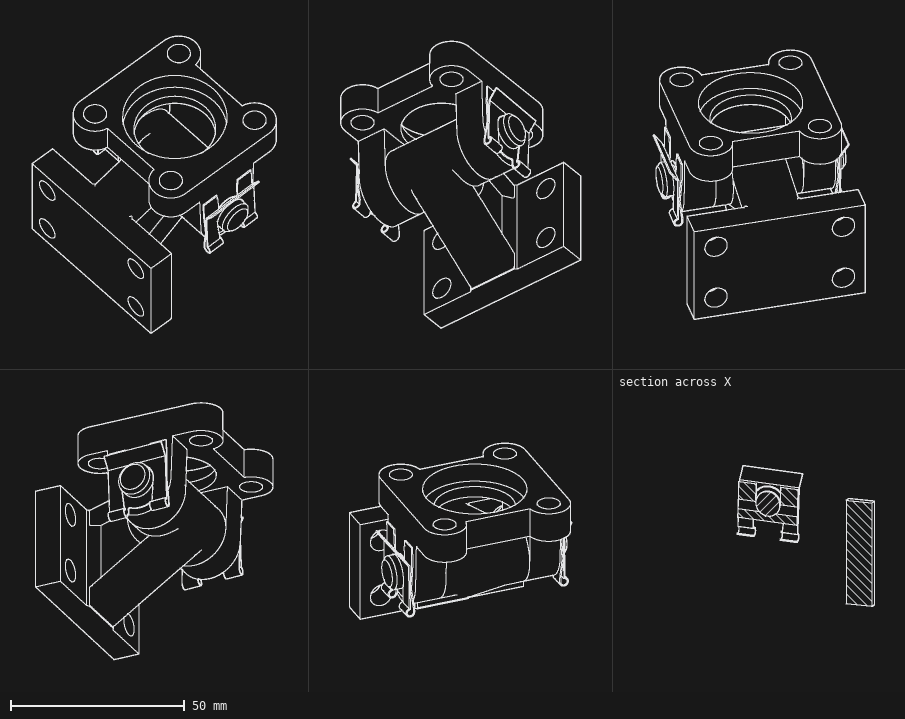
import cadquery as cq
import math


PIN_LENGTH = 54.5
PIN_RADIUS = 5.0
PIN_CHAMFER = 1.05
GROOVE_RADIUS = 3.75
GROOVE_START = 22.7
GROOVE_WIDTH = 1.2

FLANGE_HALF = 22.55
FLANGE_TOP = 22.05
FLANGE_THICKNESS = 9.0
FLANGE_BOTTOM = FLANGE_TOP - FLANGE_THICKNESS
FLANGE_CENTER_Y = 0.3
CORNER_RADIUS = 6.3
CORNER_OFFSET = FLANGE_HALF - CORNER_RADIUS
FLANGE_BODY_DEPTH = 34.2
BOLT_HOLE_DIAMETER = 6.65
BORE_DIAMETER = 23.45
COUNTERBORE_DIAMETER = 30.0
COUNTERBORE_DEPTH = 5.6

HINGE_RADIUS = 10.0
LUG_INNER_X = 13.05
LUG_THICKNESS = FLANGE_HALF - LUG_INNER_X
LUG_TOP_HALF_WIDTH = 10.5

PLATE_WIDTH = 51.0
PLATE_HEIGHT = 31.0
PLATE_THICKNESS = 8.0
PLATE_TOP = 3.5
PLATE_BOTTOM = PLATE_TOP - PLATE_HEIGHT
PLATE_CENTER_Z = PLATE_TOP - PLATE_HEIGHT / 2
PLATE_INNER_Y = -24.0
PLATE_HOLE_X = 19.0
PLATE_HOLE_Z = 9.0
ARM_HALF_WIDTH = 7.9
ARM_FLARE = 0.55
ARM_FILLET = 0.55
RIB_THICKNESS = 5.0
POCKET_DEPTH = 2.5

CLIP_TILT = 2.0
SHEET = 0.4
CLIP_HALF_WIDTH = 9.15
CLIP_TOP = 11.6
TAB_X = 23.15
JOG_Z = 6.05
RIDGE_X = 23.7
RIDGE_Z = -1.65
FOOT_CLEARANCE = 0.05
FOOT_X = FLANGE_HALF + FOOT_CLEARANCE + SHEET / 2
FOOT_Z = -7.95
ROLL_RADIUS = 1.35
ROLL_X = FOOT_X - SHEET / 2 + ROLL_RADIUS
ROLL_Z = -9.1
ROLL_GAP = 8.3
OUTER_LEAF_X = 24.15
FLAP_BEND_Z = 5.85
FLAP_TIP_X = 26.6
FLAP_TIP_Z = 9.45
FORK_MOUTH_HALF = 4.0
FORK_MOUTH_Z = 10.05
FORK_TAPER_Z = 9.65
NOTCH_WIDTH = 7.55
NOTCH_ARC_RADIUS = 7.9
NOTCH_CORNER_RADIUS = 0.5
SNAP_RADIUS = 5.15
SNAP_TAPER_END_Z = -7.3
SNAP_TAPER_HALF = 4.5


def hinge_cylinder(radius, start_x, length):
    """Cylinder on the hinge axis that begins at start_x."""
    return cq.Workplane("YZ", origin=(start_x, 0, 0)).circle(radius).extrude(length)


def tangent_normal(point, side):
    """Unit normal of the line from a (y, z) point tangent to the barrel circle."""
    turn = math.acos(HINGE_RADIUS / math.hypot(*point))
    angle = math.atan2(point[1], point[0]) + side * turn
    return math.cos(angle), math.sin(angle)



def make_flange():
    base = cq.Workplane("XY", origin=(0, FLANGE_CENTER_Y, FLANGE_BOTTOM))
    corners = base.rect(2 * CORNER_OFFSET, 2 * CORNER_OFFSET, forConstruction=True).vertices()
    side_bars = base.rect(2 * FLANGE_HALF, 2 * CORNER_OFFSET).extrude(FLANGE_THICKNESS)
    body = base.rect(2 * CORNER_OFFSET, FLANGE_BODY_DEPTH).extrude(FLANGE_THICKNESS)
    bosses = corners.circle(CORNER_RADIUS).extrude(FLANGE_THICKNESS)
    flange = body.union(side_bars).union(bosses)
    top = flange.faces(">Z").workplane(origin=(0, FLANGE_CENTER_Y, FLANGE_TOP))
    flange = top.cboreHole(BORE_DIAMETER, COUNTERBORE_DIAMETER, COUNTERBORE_DEPTH)
    bolt_holes = corners.circle(BOLT_HOLE_DIAMETER / 2).extrude(FLANGE_THICKNESS)
    return flange.cut(bolt_holes)


def make_lug(start_x):
    """Lug whose sides taper down from the flange until they are tangent to its round end."""
    right = tangent_normal((LUG_TOP_HALF_WIDTH, FLANGE_BOTTOM), -1)
    tangent_y = HINGE_RADIUS * right[0]
    tangent_z = HINGE_RADIUS * right[1]
    return (
        cq.Workplane("YZ", origin=(start_x, 0, 0))
        .moveTo(-LUG_TOP_HALF_WIDTH, FLANGE_BOTTOM)
        .lineTo(-tangent_y, tangent_z)
        .threePointArc((0, -HINGE_RADIUS), (tangent_y, tangent_z))
        .lineTo(LUG_TOP_HALF_WIDTH, FLANGE_BOTTOM)
        .close()
        .extrude(LUG_THICKNESS)
    )


def make_clevis():
    clevis = make_flange()
    for start_x in (-FLANGE_HALF, LUG_INNER_X):
        clevis = clevis.union(make_lug(start_x))
    return clevis.cut(hinge_cylinder(PIN_RADIUS, -FLANGE_HALF, 2 * FLANGE_HALF))



UPPER_NORMAL = tangent_normal((PLATE_INNER_Y, PLATE_TOP), -1)
LOWER_NORMAL = tangent_normal((PLATE_INNER_Y, PLATE_BOTTOM), 1)


def arm_outline(inset):
    """Corners of the arm between barrel and plate, with its two sloping sides moved in by inset."""
    reach = HINGE_RADIUS - inset
    barrel_points = []
    plate_points = []
    for normal_y, normal_z in (UPPER_NORMAL, LOWER_NORMAL):
        barrel_points.append((reach * normal_y, reach * normal_z))
        plate_points.append((PLATE_INNER_Y, (reach - normal_y * PLATE_INNER_Y) / normal_z))
    return [barrel_points[0], plate_points[0], plate_points[1], barrel_points[1], (0, 0)]


def make_pocket():
    """Pocket in the +X side of the arm, bevelled at 45 degrees along the barrel and the plate."""
    floor_x = ARM_HALF_WIDTH - POCKET_DEPTH
    pocket = (
        cq.Workplane("YZ", origin=(floor_x, 0, 0))
        .polyline(arm_outline(RIB_THICKNESS))
        .close()
        .extrude(POCKET_DEPTH)
    )
    barrel_bevel = cq.Workplane("XY").add(
        cq.Solid.makeCone(
            HINGE_RADIUS + POCKET_DEPTH,
            HINGE_RADIUS,
            POCKET_DEPTH,
            pnt=cq.Vector(floor_x, 0, 0),
            dir=cq.Vector(1, 0, 0),
        )
    )
    bevel_end_y = PLATE_INNER_Y + ARM_FLARE
    plate_bevel = (
        cq.Workplane("XY", origin=(0, 0, PLATE_BOTTOM))
        .moveTo(floor_x, PLATE_INNER_Y)
        .lineTo(floor_x, bevel_end_y + POCKET_DEPTH)
        .lineTo(ARM_HALF_WIDTH, bevel_end_y)
        .lineTo(ARM_HALF_WIDTH, PLATE_INNER_Y)
        .close()
        .extrude(PLATE_HEIGHT)
    )
    return pocket.cut(barrel_bevel).cut(plate_bevel)


def make_arm():
    arm = (
        cq.Workplane("YZ", origin=(-ARM_HALF_WIDTH, 0, 0))
        .polyline(arm_outline(0))
        .close()
        .extrude(2 * ARM_HALF_WIDTH)
    )
    pocket = make_pocket()
    arm = arm.cut(pocket).cut(pocket.mirror("YZ"))
    long_edges = []
    for side in ("<X", ">X"):
        for edge in arm.faces(side).edges("%LINE").vals():
            slopes = edge.startPoint().y != edge.endPoint().y
            if slopes and edge.Center().y < -HINGE_RADIUS / 2:
                long_edges.append(edge)
    return arm.newObject(long_edges).fillet(ARM_FILLET)


def make_flare():
    """Narrow widening of the arm where it meets the plate."""
    outer = ARM_HALF_WIDTH + ARM_FLARE
    return (
        cq.Workplane("XY", origin=(0, 0, PLATE_BOTTOM))
        .moveTo(-outer, PLATE_INNER_Y)
        .lineTo(-ARM_HALF_WIDTH, PLATE_INNER_Y + ARM_FLARE)
        .lineTo(ARM_HALF_WIDTH, PLATE_INNER_Y + ARM_FLARE)
        .lineTo(outer, PLATE_INNER_Y)
        .close()
        .extrude(PLATE_HEIGHT)
    )


def make_plate():
    plate = cq.Workplane("XZ", origin=(0, PLATE_INNER_Y, PLATE_CENTER_Z))
    holes = (
        plate.rect(2 * PLATE_HOLE_X, 2 * PLATE_HOLE_Z, forConstruction=True)
        .vertices()
        .circle(BOLT_HOLE_DIAMETER / 2)
        .extrude(PLATE_THICKNESS)
    )
    return plate.rect(PLATE_WIDTH, PLATE_HEIGHT).extrude(PLATE_THICKNESS).cut(holes)


def make_bracket():
    barrel_length = 2 * LUG_INNER_X
    barrel = hinge_cylinder(HINGE_RADIUS, -LUG_INNER_X, barrel_length)
    bracket = make_plate().union(make_flare()).union(make_arm()).union(barrel)
    return bracket.cut(hinge_cylinder(PIN_RADIUS, -LUG_INNER_X, barrel_length))



def make_pin():
    pin = hinge_cylinder(PIN_RADIUS, -PIN_LENGTH / 2, PIN_LENGTH).faces("<X or >X").chamfer(PIN_CHAMFER)
    for start_x in (GROOVE_START, -GROOVE_START - GROOVE_WIDTH):
        core = hinge_cylinder(GROOVE_RADIUS, start_x, GROOVE_WIDTH)
        pin = pin.cut(hinge_cylinder(PIN_RADIUS, start_x, GROOVE_WIDTH).cut(core))
    return pin



def bent_sheet(points):
    """Sheet of the clip's full width that follows a line of (x, z) points at mid-thickness."""
    normals = []
    for (x0, z0), (x1, z1) in zip(points, points[1:]):
        length = math.hypot(x1 - x0, z1 - z0)
        normals.append(((z0 - z1) / length, (x1 - x0) / length))
    left = []
    right = []
    for (x, z), (ax, az), (bx, bz) in zip(points, normals[:1] + normals, normals + normals[-1:]):
        miter = SHEET / 2 / (1 + ax * bx + az * bz)
        left.append((x + miter * (ax + bx), z + miter * (az + bz)))
        right.append((x - miter * (ax + bx), z - miter * (az + bz)))
    outline = cq.Workplane("XZ").polyline(left + right[::-1]).close()
    return outline.extrude(CLIP_HALF_WIDTH, both=True)


def make_inner_leaf():
    """Leaf that straddles the pin groove with a fork open at the top."""
    leaf = bent_sheet(
        [(TAB_X, CLIP_TOP), (TAB_X, JOG_Z), (RIDGE_X, RIDGE_Z), (FOOT_X, FOOT_Z), (FOOT_X, ROLL_Z)]
    )
    through = 2 * OUTER_LEAF_X
    fork = (
        cq.Workplane("YZ")
        .moveTo(-GROOVE_RADIUS, 0)
        .threePointArc((0, -GROOVE_RADIUS), (GROOVE_RADIUS, 0))
        .lineTo(GROOVE_RADIUS, FORK_TAPER_Z)
        .lineTo(FORK_MOUTH_HALF, FORK_MOUTH_Z)
        .lineTo(FORK_MOUTH_HALF, CLIP_TOP)
        .lineTo(-FORK_MOUTH_HALF, CLIP_TOP)
        .lineTo(-FORK_MOUTH_HALF, FORK_MOUTH_Z)
        .lineTo(-GROOVE_RADIUS, FORK_TAPER_Z)
        .close()
        .extrude(through)
    )
    notch = (
        cq.Workplane("YZ")
        .center(0, ROLL_Z / 2)
        .rect(NOTCH_WIDTH, -ROLL_Z)
        .extrude(through)
        .cut(hinge_cylinder(NOTCH_ARC_RADIUS, 0, through))
        .edges("|X and >Z")
        .fillet(NOTCH_CORNER_RADIUS)
    )
    return leaf.cut(fork).cut(notch)


def make_outer_leaf():
    """Leaf that snaps over the pin end and carries the slanted release flap."""
    roll_top = ROLL_Z + ROLL_RADIUS - SHEET / 2
    leaf = bent_sheet([(OUTER_LEAF_X, roll_top), (OUTER_LEAF_X, FLAP_BEND_Z), (FLAP_TIP_X, FLAP_TIP_Z)])
    through = 2 * OUTER_LEAF_X
    mouth = (
        cq.Workplane("YZ")
        .polyline(
            [
                (-SNAP_RADIUS, 0),
                (-SNAP_TAPER_HALF, SNAP_TAPER_END_Z),
                (-SNAP_TAPER_HALF, ROLL_Z),
                (SNAP_TAPER_HALF, ROLL_Z),
                (SNAP_TAPER_HALF, SNAP_TAPER_END_Z),
                (SNAP_RADIUS, 0),
            ]
        )
        .close()
        .extrude(through)
    )
    return leaf.cut(hinge_cylinder(SNAP_RADIUS, 0, through)).cut(mouth)


def make_rolls():
    """Two rolled loops that join the leaves at the bottom."""
    rolls = (
        cq.Workplane("XZ", origin=(ROLL_X, 0, ROLL_Z))
        .circle(ROLL_RADIUS)
        .circle(ROLL_RADIUS - SHEET)
        .extrude(CLIP_HALF_WIDTH, both=True)
    )
    opening_start = ROLL_X - ROLL_RADIUS
    opening_end = OUTER_LEAF_X - SHEET / 2
    opening = cq.Workplane("XY").box(
        opening_end - opening_start, 2 * CLIP_HALF_WIDTH, ROLL_RADIUS, centered=(False, True, False)
    )
    opening = opening.translate((opening_start, 0, ROLL_Z))
    gap = cq.Workplane("XY", origin=(ROLL_X, 0, ROLL_Z)).box(2 * ROLL_RADIUS, ROLL_GAP, 2 * ROLL_RADIUS)
    return rolls.cut(opening).cut(gap)


def make_clip(mirrored):
    clip = make_inner_leaf().union(make_rolls()).union(make_outer_leaf())
    clip = clip.rotate((0, 0, 0), (1, 0, 0), CLIP_TILT)
    return clip.mirror("YZ") if mirrored else clip


clevis = make_clevis()
bracket = make_bracket()
pin = make_pin()
clips = [make_clip(mirrored) for mirrored in (False, True)]

result = cq.Compound.makeCompound(
    [clevis.val(), bracket.val(), pin.val(), *[clip.val() for clip in clips]]
)